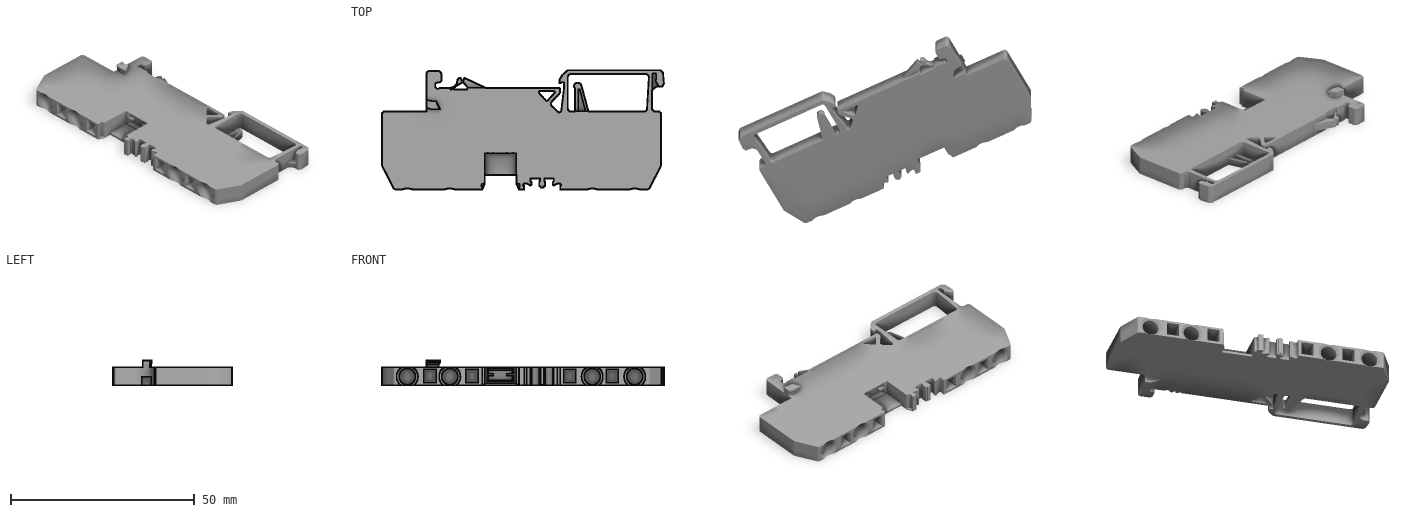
import cadquery as cq


body_height = 5.0
total_height = 6.85

body_right = 75.95
deck_y = 21.25
shoulder_y = 27.7
hook_top_y = 32.3
frame_top_y = 32.5
chamfer_x = 3.3
chamfer_y = 6.45
corner_radius = 0.5
foot_corner_radius = 0.9

hook_left = 12.07
hook_right = 16.2

slot_left = 28.0
slot_right = 36.55
slot_top = 9.95
slot_mouth_left = 27.3
slot_mid = (slot_left + slot_right) / 2
slot_plate_edge = 3.95
slot_plate_thickness = 0.65
lip_floor = 0.35

foot_mid = 43.58
foot_top = 3.0
tongue_tip_left = 43.2
tongue_end_y = 0.45
tongue_shoulder_y = 0.85
tongue_tip_bottom = 0.25

first_wire_x = 6.88
wire_pitch = 11.56
wire_group_offset = 50.34
wire_z = 2.4
wire_diameter = 4.4
wire_mouth_diameter = 5.85
wire_mouth_depth = 0.6
entry_depth = 8.0
tool_x_positions = (13.05, 24.5, 51.1, 62.65)
tool_width = 3.35
tool_z_bottom = 0.7
tool_z_top = 4.4

window_left = 50.6
window_right_top = 72.65
window_right_bottom = 72.05
window_top = 31.4
window_radius = 0.8
triangle_radius = 0.3
groove_floor = 1.5

lever_top = 1.9
root_overlap = 1.0
lever_recess_floor = 0.9
latch_bottom = 1.5
latch_top = 3.5

tab_flare_z = 5.8
tab_lip_z = 6.3
tab_neck_y = 22.1
tab_lip_y = 21.85
tab_neck_tip_x = 15.5
tab_lip_tip_x = 15.8
tab_rear_y = 24.4
tab_back_y = 24.1
tab_back_x = 14.7
tab_bend_x = 13.5
socket_rear_y = 24.6
tab_flare = 0.4
socket_depth = 2.4

recess_mouth = (28.7, 1.15, 35.8, 4.65)
recess_back = (28.95, 1.4, 35.4, 4.15)
recess_depth = 1.0
rib_z_bottom = 2.7
rib_z_top = 3.25
rib_tip_left = 30.3
rib_tip_right = 34.0


def plate(points, z_bottom, z_top):
    """Prism over a closed XY outline between two heights."""
    return cq.Workplane("XY", origin=(0, 0, z_bottom)).polyline(points).close().extrude(z_top - z_bottom)


def block(x_min, x_max, y_min, y_max, z_min, z_max):
    size = (x_max - x_min, y_max - y_min, z_max - z_min)
    return cq.Workplane("XY").box(*size, centered=False).translate((x_min, y_min, z_min))


def mirror_x(points, middle):
    """Points reflected about X = middle, in reverse order."""
    return [(2 * middle - x, y) for x, y in reversed(points)]


def housing():
    """Wide body with the left hook, the middle block and the marker frame."""
    outline = (
        cq.Workplane("XY")
        .moveTo(chamfer_x, 0)
        .lineTo(body_right - chamfer_x, 0)
        .lineTo(body_right, chamfer_y)
        .lineTo(body_right, deck_y - corner_radius)
        .lineTo(body_right - corner_radius, deck_y)
        .lineTo(74.1, deck_y)
        .lineTo(73.5, 21.9)
        .lineTo(73.5, 26.8)
        .threePointArc((74.0, 27.5), (74.9, 28.0))
        .lineTo(76.3, 28.0)
        .lineTo(76.75, 28.9)
        .lineTo(76.5, 31.85)
        .lineTo(75.8, frame_top_y)
        .lineTo(50.5, frame_top_y)
        .lineTo(49.0, 31.1)
        .lineTo(48.3, 29.9)
        .lineTo(48.3, 28.9)
        .lineTo(48.6, 28.9)
        .lineTo(48.8, 29.15)
        .lineTo(49.5, 29.15)
        .lineTo(49.5, 27.5)
        .lineTo(48.75, 21.4)
        .threePointArc((48.35, 21.05), (47.9, 21.15))
        .lineTo(46.2, 22.8)
        .threePointArc((45.98, 23.35), (46.2, 23.9))
        .lineTo(48.4, 26.2)
        .lineTo(48.55, 27.2)
        .lineTo(48.3, shoulder_y)
        .lineTo(23.15, shoulder_y)
        .lineTo(23.15, 27.25)
        .lineTo(18.7, 27.25)
        .lineTo(18.7, shoulder_y)
        .lineTo(15.7, shoulder_y)
        .lineTo(15.5, 27.5)
        .lineTo(14.9, 27.5)
        .lineTo(14.55, 27.85)
        .lineTo(14.55, 28.9)
        .lineTo(15.0, 29.1)
        .lineTo(15.6, 29.15)
        .threePointArc((16.0, 29.4), (hook_right, 29.8))
        .lineTo(hook_right, 31.4)
        .threePointArc((15.95, 31.95), (15.5, hook_top_y))
        .lineTo(12.8, hook_top_y)
        .threePointArc((12.3, 32.0), (hook_left, 31.45))
        .lineTo(hook_left, deck_y)
        .lineTo(corner_radius, deck_y)
        .lineTo(0, deck_y - corner_radius)
        .lineTo(0, chamfer_y)
        .close()
    )
    solid = outline.extrude(body_height)
    below_chamfer_top = cq.selectors.BoxSelector(
        (-corner_radius, -corner_radius, 0),
        (body_right + corner_radius, chamfer_y + corner_radius, body_height),
    )
    return solid.edges("|Z").edges(below_chamfer_top).fillet(foot_corner_radius)


def window():
    """Opening of the marker frame."""
    corners = [
        (window_left, deck_y),
        (window_right_bottom, deck_y),
        (window_right_top, window_top),
        (window_left, window_top),
    ]
    return plate(corners, 0, body_height).edges("|Z").fillet(window_radius)


def triangle_opening():
    """Triangular opening that leaves a strut at the end of the middle block."""
    corners = [(42.3, 26.8), (47.4, 26.8), (44.85, 24.0)]
    return plate(corners, 0, body_height).edges("|Z").fillet(triangle_radius)


def hook_groove():
    """Groove between the right frame leg and its hooked end, open downward in Y."""
    outline = (
        cq.Workplane("XY", origin=(0, 0, groove_floor))
        .moveTo(73.5, 26.0)
        .lineTo(73.5, 31.1)
        .threePointArc((74.1, 31.7), (74.7, 31.1))
        .lineTo(74.7, 30.2)
        .lineTo(74.45, 29.7)
        .lineTo(75.3, 28.0)
        .lineTo(75.3, 26.0)
        .close()
    )
    return outline.extrude(body_height - groove_floor)


def rail_slot():
    """Slot for the rail, with a thin plate left at its inner end."""
    mouth = [(slot_left, 1.5), (27.75, 1.15), (27.5, 0.5), (slot_mouth_left, 0)]
    opening = [(slot_left, slot_plate_edge)] + mouth + mirror_x(mouth, slot_mid)
    opening.append((slot_right, slot_plate_edge))
    pocket = block(slot_left, slot_right, slot_plate_edge, slot_top, slot_plate_thickness, body_height)
    undercut = [
        (slot_left, 1.8),
        (27.15, 1.5),
        (27.0, 1.0),
        (27.25, 0.65),
        (slot_mouth_left, 0),
        (slot_left, 0.9),
    ]
    cut = plate(opening, 0, body_height).union(pocket)
    for points in (undercut, mirror_x(undercut, slot_mid)):
        cut = cut.union(plate(points, lip_floor, body_height))
    return cut


def foot_profile():
    """Notches that leave a centre tongue between two clamping feet."""
    half = [
        (38.65, 0),
        (38.65, 1.0),
        (38.35, 1.2),
        (38.7, 1.6),
        (39.4, 1.6),
        (40.1, 1.3),
        (40.4, 1.1),
        (40.7, 1.3),
        (40.7, 2.05),
        (40.45, 2.2),
        (40.45, foot_top),
        (43.0, foot_top),
        (43.0, 2.3),
        (42.75, 2.2),
        (42.75, tongue_shoulder_y),
        (tongue_tip_left, tongue_shoulder_y),
        (tongue_tip_left, tongue_end_y),
    ]
    notches = plate(half + mirror_x(half, foot_mid), 0, body_height)
    tongue_tip_right = 2 * foot_mid - tongue_tip_left
    below_tip = block(
        tongue_tip_left, tongue_tip_right, tongue_end_y, tongue_shoulder_y, 0, tongue_tip_bottom
    )
    return notches.union(below_tip)


def wire_entry(x):
    """Round blind hole along Y with a conical mouth."""
    radius = wire_diameter / 2
    mouth_radius = wire_mouth_diameter / 2
    half_section = [
        (0, 0),
        (mouth_radius, 0),
        (radius, wire_mouth_depth),
        (radius, entry_depth),
        (0, entry_depth),
    ]
    hole = cq.Workplane("XY").polyline(half_section).close().revolve(360, (0, 0, 0), (0, 1, 0))
    return hole.translate((x, 0, wire_z))


def tool_entry(x):
    """Rectangular blind opening along Y."""
    return block(x - tool_width / 2, x + tool_width / 2, 0, entry_depth, tool_z_bottom, tool_z_top)


def end_wall_recess():
    """Tapered recess in the end wall of the rail slot, with a rib left on each side."""
    def rectangle(workplane, limits):
        x_min, z_min, x_max, z_max = limits
        return workplane.polyline([(x_min, z_min), (x_max, z_min), (x_max, z_max), (x_min, z_max)]).close()

    mouth = rectangle(cq.Workplane("XZ", origin=(0, slot_top, 0)), recess_mouth)
    recess = rectangle(mouth.workplane(offset=-recess_depth), recess_back).loft(ruled=True)
    y_end = slot_top + recess_depth
    left_rib = block(slot_left, rib_tip_left, slot_top, y_end, rib_z_bottom, rib_z_top)
    right_rib = block(rib_tip_right, slot_right, slot_top, y_end, rib_z_bottom, rib_z_top)
    return recess.cut(left_rib).cut(right_rib)


def marker_lever():
    """Tapered lever standing in the marker frame, hollowed from above."""
    outline = (
        cq.Workplane("XY")
        .moveTo(52.5, deck_y - root_overlap)
        .lineTo(52.5, 27.6)
        .lineTo(52.2, 28.0)
        .threePointArc((53.3, 29.1), (54.3, 28.3))
        .lineTo(56.2, deck_y)
        .lineTo(56.2, deck_y - root_overlap)
        .close()
        .extrude(lever_top)
    )
    hollow = [(53.4, deck_y), (53.4, 27.3), (53.85, 27.3), (55.4, deck_y)]
    return outline.cut(plate(hollow, lever_recess_floor, lever_top))


def latch():
    """Flexible arm and ramp beside the left hook."""
    arm = [
        (19.6, 27.0),
        (18.9, 27.0),
        (18.9, 27.8),
        (19.6, 28.0),
        (20.4, 28.9),
        (20.4, 29.4),
        (20.65, 30.15),
        (21.3, 30.5),
        (22.05, 29.3),
        (21.0, 28.6),
        (20.0, 28.0),
        (19.5, 27.5),
    ]
    ramp = [(23.15, 27.0), (23.15, 28.0), (22.0, 29.25), (22.4, 30.45), (28.2, shoulder_y), (28.2, 27.0)]
    arm_solid = plate(arm, latch_bottom, latch_top)
    return arm_solid.union(plate(ramp, latch_bottom, latch_top))


def tab_outline(base, front_y, tip_x):
    """Tab outline with a slanted tip, a bent rear edge and a flared base."""
    return (
        base.moveTo(hook_left, front_y + tab_flare)
        .lineTo(tab_bend_x, front_y)
        .lineTo(tip_x, front_y)
        .lineTo(tab_back_x, tab_back_y)
        .lineTo(tab_bend_x, tab_back_y)
        .lineTo(hook_left, tab_rear_y)
        .close()
    )


def snap_tab():
    """Tab on the upper face with a flared lip at its top."""
    base = cq.Workplane("XY", origin=(0, 0, body_height))
    neck = tab_outline(base, tab_neck_y, tab_neck_tip_x).extrude(tab_flare_z - body_height)
    flare_base = cq.Workplane("XY", origin=(0, 0, tab_flare_z))
    flare_start = tab_outline(flare_base, tab_neck_y, tab_neck_tip_x)
    flare_end = flare_start.workplane(offset=tab_lip_z - tab_flare_z)
    flare = tab_outline(flare_end, tab_lip_y, tab_lip_tip_x).loft(ruled=True)
    lip_base = cq.Workplane("XY", origin=(0, 0, tab_lip_z))
    lip = tab_outline(lip_base, tab_lip_y, tab_lip_tip_x).extrude(total_height - tab_lip_z)
    return neck.union(flare).union(lip)


def snap_socket():
    """Socket in the underside that takes the tab of a neighbouring housing."""
    outline = (
        cq.Workplane("XY")
        .moveTo(hook_left, tab_neck_y)
        .lineTo(tab_neck_tip_x, tab_neck_y)
        .threePointArc((14.5, 24.0), (hook_left, socket_rear_y))
        .close()
    )
    return outline.extrude(socket_depth)


def build():
    part = housing().cut(window()).cut(triangle_opening()).cut(hook_groove())
    part = part.cut(rail_slot()).cut(foot_profile()).cut(end_wall_recess())
    for group in (0, wire_group_offset):
        for pitch in (0, wire_pitch):
            part = part.cut(wire_entry(first_wire_x + group + pitch))
    for x in tool_x_positions:
        part = part.cut(tool_entry(x))
    part = part.union(marker_lever()).union(latch()).union(snap_tab())
    return part.cut(snap_socket())


result = build()